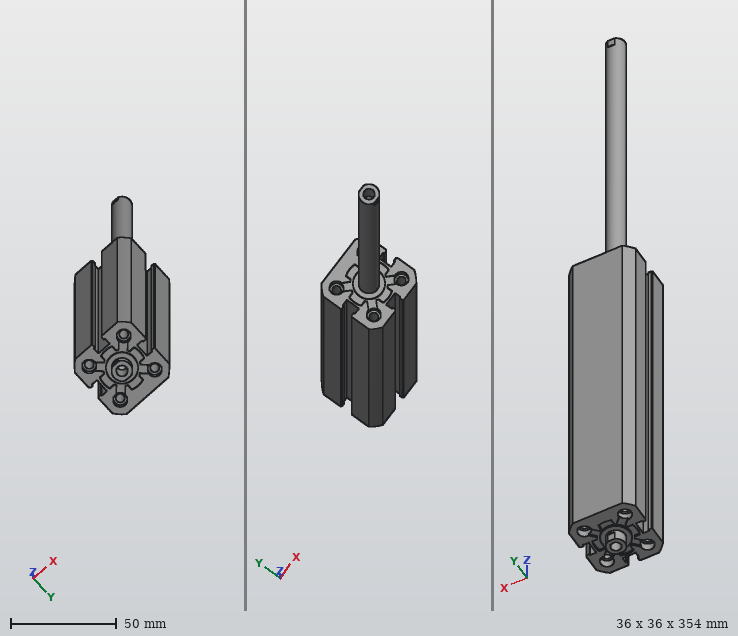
import cadquery as cq
import math

rod_length = 354.0
barrel_bottom = 6.0
barrel_top = 188.0
barrel_length = barrel_top - barrel_bottom

barrel_side = 36.0
corner_circle_diameter = 45.0

slot_mouth_width = 5.5
slot_mouth_chamfer = 0.53
slot_inner_width = 7.0
slot_depth = 5.3
slot_lip = 2.0

rod_diameter = 10.0
flats_across = 9.2
flats_length = 4.5
thread_hole_diameter = 5.3
thread_hole_depth = 14.0
drill_tip_angle = 118.0

recess_depth = 1.0
recess_diameter = 17.7
hub_diameter = 15.2
neck_width = 4.2
tab_width = 7.0
tab_tip_diameter = 23.0

sleeve_spacing = 22.0
sleeve_outer_diameter = 6.7
sleeve_inner_diameter = 4.2
sleeve_sink = 4.2
sleeve_length = barrel_length - 2 * sleeve_sink


def cylinder(diameter, bottom, height):
    return cq.Workplane("XY", origin=(0, 0, bottom)).circle(diameter / 2).extrude(height)


def at_barrel_corners():
    """Workplane at the barrel's lower end with a point on each sleeve axis."""
    base = cq.Workplane("XY", origin=(0, 0, barrel_bottom))
    return base.rect(sleeve_spacing, sleeve_spacing, forConstruction=True).vertices()


def end_recess(bottom):
    base = cq.Workplane("XY", origin=(0, 0, bottom))
    recess = cylinder(recess_diameter, bottom, recess_depth)
    neck_pair_length = sleeve_spacing * math.sqrt(2)
    for angle in (45, 135):
        necks = base.transformed(rotate=(0, 0, angle)).rect(neck_pair_length, neck_width)
        recess = recess.union(necks.extrude(recess_depth))
    tabs = base.rect(tab_tip_diameter, tab_width).extrude(recess_depth)
    tabs = tabs.union(base.rect(tab_width, tab_tip_diameter).extrude(recess_depth))
    recess = recess.union(tabs.intersect(cylinder(tab_tip_diameter, bottom, recess_depth)))
    return recess.cut(cylinder(hub_diameter, bottom, recess_depth))


def side_slot():
    """T-shaped slot in the -Y side, with a chamfered mouth."""
    face_y = -barrel_side / 2
    lip_y = face_y + slot_lip
    floor_y = face_y + slot_depth
    mouth_x = slot_mouth_width / 2
    inner_x = slot_inner_width / 2
    half_section = [
        (mouth_x + slot_mouth_chamfer, face_y),
        (mouth_x, face_y + slot_mouth_chamfer),
        (mouth_x, lip_y),
        (inner_x, lip_y),
        (inner_x, floor_y),
    ]
    mirrored = [(-x, y) for x, y in reversed(half_section)]
    section = cq.Workplane("XY", origin=(0, 0, barrel_bottom)).polyline(half_section + mirrored)
    return section.close().extrude(barrel_length)


def make_barrel():
    barrel = cq.Workplane("XY", origin=(0, 0, barrel_bottom)).rect(barrel_side, barrel_side)
    barrel = barrel.extrude(barrel_length)
    barrel = barrel.intersect(cylinder(corner_circle_diameter, barrel_bottom, barrel_length))
    for turn in (-90, 0, 90):
        barrel = barrel.cut(side_slot().rotate((0, 0, 0), (0, 0, 1), turn))
    for recess_bottom in (barrel_bottom, barrel_top - recess_depth):
        barrel = barrel.cut(end_recess(recess_bottom))
    barrel = barrel.cut(at_barrel_corners().circle(sleeve_outer_diameter / 2).extrude(barrel_length))
    return barrel.cut(cylinder(rod_diameter, barrel_bottom, barrel_length))


def make_sleeve(x, y):
    base = cq.Workplane("XY", origin=(x, y, barrel_bottom + sleeve_sink))
    ring = base.circle(sleeve_outer_diameter / 2).circle(sleeve_inner_diameter / 2)
    return ring.extrude(sleeve_length)


def threaded_hole():
    """Blind hole up from Z = 0 with a drill-point end."""
    radius = thread_hole_diameter / 2
    point_height = radius / math.tan(math.radians(drill_tip_angle / 2))
    half_section = [
        (0, 0),
        (radius, 0),
        (radius, thread_hole_depth),
        (0, thread_hole_depth + point_height),
    ]
    return cq.Workplane("XZ").polyline(half_section).close().revolve(360, (0, 0), (0, 1))


def wrench_flats():
    """Material removed at the lower rod end to leave flats facing -Y and +Y."""
    rod_end = cylinder(rod_diameter, 0, flats_length)
    return rod_end.cut(cq.Workplane("XY").rect(rod_diameter, flats_across).extrude(flats_length))


def make_rod():
    end_cuts = [threaded_hole(), wrench_flats()]
    rod = cylinder(rod_diameter, 0, rod_length)
    for end_cut in end_cuts:
        rod = rod.cut(end_cut)
        rod = rod.cut(end_cut.mirror("XY").translate((0, 0, rod_length)))
    return rod


barrel = make_barrel()
rod = make_rod()
sleeve_offsets = (-sleeve_spacing / 2, sleeve_spacing / 2)
sleeves = [make_sleeve(x, y) for x in sleeve_offsets for y in sleeve_offsets]

bodies = [barrel, rod, *sleeves]
result = cq.Compound.makeCompound([body.val() for body in bodies])